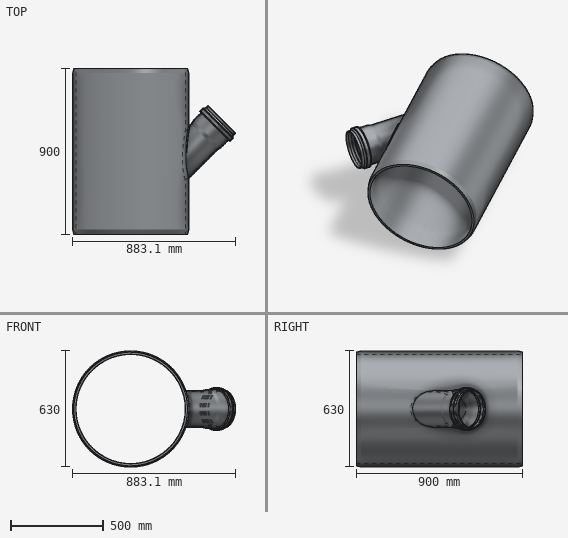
import cadquery as cq
import math

pipe_length = 900.0
pipe_diameter = 630.0
pipe_bore = 591.0
bevel_length = 26.0
bevel_depth = 7.0

branch_angle = 45.0
branch_diameter = 200.0
branch_bore = 187.0
branch_shift = -4.5

socket_diameter = 211.0
socket_bore = 201.0
bead_diameter = 231.0
bead_bore = 222.0
shoulder_diameter = 222.0
lip_diameter = 212.0

weld_height = 6.0

taper_start = 117.0
taper_end = 139.5
bead_start = 199.0
bead_end = 226.0
lip_start = 237.0
mouth = 252.0
bead_wall = (bead_diameter - bead_bore) / 2

pipe_radius = pipe_diameter / 2
root = -pipe_radius / math.cos(math.radians(branch_angle))


def pipe_cylinder(diameter):
    """Cylinder along the main pipe axis, as long as the main pipe."""
    return cq.Workplane("XZ").circle(diameter / 2).extrude(pipe_length / 2, both=True)


def revolve_branch(steps):
    """Solid of revolution about the branch axis from (diameter, station) steps."""
    outline = [(0, steps[0][1])]
    outline += [(diameter / 2, station) for diameter, station in steps]
    outline.append((0, steps[-1][1]))
    solid = cq.Workplane("XY").polyline(outline).close().revolve(360, (0, 0, 0), (0, 1, 0))
    solid = solid.rotate((0, 0, 0), (0, 0, 1), branch_angle - 90)
    return solid.translate((pipe_radius, branch_shift, 0))


def main_pipe():
    """Solid main pipe with a long shallow bevel on both outer end edges."""
    radius = pipe_radius
    half = pipe_length / 2
    outline = [
        (0, -half),
        (radius - bevel_depth, -half),
        (radius, bevel_length - half),
        (radius, half - bevel_length),
        (radius - bevel_depth, half),
        (0, half),
    ]
    return cq.Workplane("XY").polyline(outline).close().revolve(360, (0, 0, 0), (0, 1, 0))


def weld():
    """Elliptical boss along X, ending on a cylinder just proud of the main pipe."""
    half_width = branch_diameter / 2
    half_length = half_width / math.sin(math.radians(branch_angle))
    center_y = branch_shift + weld_height * math.tan(math.radians(branch_angle))
    boss = (
        cq.Workplane("YZ")
        .center(center_y, 0)
        .ellipse(half_length, half_width)
        .extrude(pipe_diameter)
    )
    return boss.intersect(pipe_cylinder(pipe_diameter + 2 * weld_height))


branch_body = revolve_branch([
    (branch_diameter, root),
    (branch_diameter, taper_start),
    (socket_diameter, taper_end),
    (socket_diameter, bead_start),
    (bead_diameter, bead_start),
    (bead_diameter, bead_end),
    (shoulder_diameter, bead_end),
    (lip_diameter, lip_start),
    (lip_diameter, mouth),
])

branch_cavity = revolve_branch([
    (branch_bore, root),
    (branch_bore, taper_start),
    (socket_bore, taper_end),
    (socket_bore, bead_start + bead_wall),
    (bead_bore, bead_start + bead_wall),
    (bead_bore, bead_end - bead_wall),
    (socket_bore, bead_end - bead_wall),
    (socket_bore, mouth),
])

result = main_pipe().union(weld()).union(branch_body).cut(branch_cavity).cut(pipe_cylinder(pipe_bore))